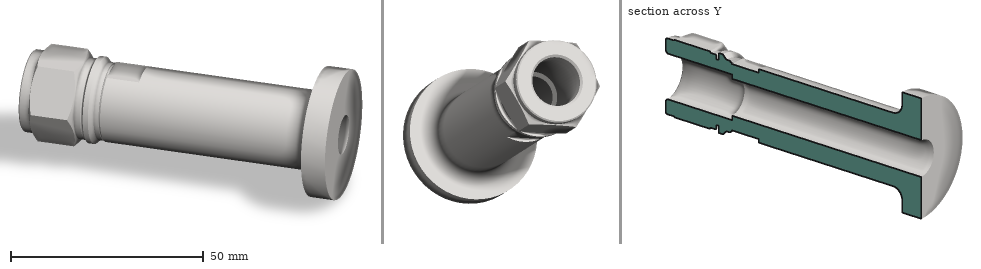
import cadquery as cq
import math

overall_length = 85.1
end_x = -overall_length / 2
flange_face_x = overall_length / 2

collar_diameter = 21.8
collar_length = 2.85
collar_chamfer = 0.35
hex_across_flats = 22.225
hex_length = 12.15
hex_front_chamfer_diameter = 21.9
hex_chamfer_angle = 30
nut_skirt_diameter = 21.5
nut_skirt_length = 2.0
nut_skirt_chamfer = 0.25

neck_diameter = 18.9
neck_length = 0.65
ring_diameter = 23.0
ring_length = 1.4
ring_cone_length = 1.2
shoulder_diameter = 20.6
shoulder_length = 1.35
relief_diameter = 19.95
relief_length = 0.5

pipe_diameter = 21.1
wrench_flat_spacing = 19.05
wrench_flat_length = 8.8
flange_diameter = 34.5
flange_thickness = 6.5
flange_fillet = 3.0

through_bore_diameter = 10.41
socket_diameter = 12.9
socket_chamfer = 0.6

hex_start_x = end_x + collar_length
hex_end_x = hex_start_x + hex_length
nut_end_x = hex_end_x + nut_skirt_length
ring_start_x = nut_end_x + neck_length
ring_cone_start_x = ring_start_x + ring_length
shoulder_start_x = ring_cone_start_x + ring_cone_length
shoulder_end_x = shoulder_start_x + shoulder_length
pipe_start_x = shoulder_end_x + relief_length
flange_back_x = flange_face_x - flange_thickness
socket_depth = pipe_start_x - end_x


def cylinder(start_x, length, diameter):
    """Solid cylinder along X, starting at start_x."""
    return cq.Workplane("YZ", origin=(start_x, 0, 0)).circle(diameter / 2).extrude(length)


def revolve_outline(outline):
    """Turn a closed XY outline into a solid of revolution about X."""
    return outline.close().revolve(360, (0, 0, 0), (1, 0, 0))


def make_hexagon():
    """Hexagon with flats facing +Z and -Z and conical chamfers; the back cone runs into the skirt."""
    across_corners = hex_across_flats / math.cos(math.radians(30))
    hexagon = (
        cq.Workplane("YZ", origin=(hex_start_x, 0, 0))
        .polygon(6, across_corners)
        .extrude(hex_length)
    )
    corner_radius = across_corners / 2
    front_radius = hex_front_chamfer_diameter / 2
    back_radius = nut_skirt_diameter / 2
    chamfer_slope = math.tan(math.radians(hex_chamfer_angle))
    front_chamfer_length = (corner_radius - front_radius) * chamfer_slope
    back_chamfer_length = (corner_radius - back_radius) * chamfer_slope
    envelope = revolve_outline(
        cq.Workplane("XY")
        .moveTo(hex_start_x, 0)
        .lineTo(hex_start_x, front_radius)
        .lineTo(hex_start_x + front_chamfer_length, corner_radius)
        .lineTo(hex_end_x - back_chamfer_length, corner_radius)
        .lineTo(hex_end_x, back_radius)
        .lineTo(hex_end_x, 0)
    )
    return hexagon.intersect(envelope)


def make_nut():
    """Collar, hexagon and skirt of the compression nut."""
    collar = cylinder(end_x, collar_length, collar_diameter).faces("<X").chamfer(collar_chamfer)
    skirt = cylinder(hex_end_x, nut_skirt_length, nut_skirt_diameter)
    skirt = skirt.faces(">X").chamfer(nut_skirt_chamfer)
    return collar.union(make_hexagon()).union(skirt)


def make_body():
    """Neck, ring, shoulder, pipe and flange as one turned piece."""
    pipe_radius = pipe_diameter / 2
    fillet_start_x = flange_back_x - flange_fillet
    fillet_outer_radius = pipe_radius + flange_fillet
    arc_offset = flange_fillet * math.sin(math.radians(45))
    fillet_middle = (fillet_start_x + arc_offset, fillet_outer_radius - arc_offset)
    return revolve_outline(
        cq.Workplane("XY")
        .moveTo(nut_end_x, 0)
        .lineTo(nut_end_x, neck_diameter / 2)
        .lineTo(ring_start_x, neck_diameter / 2)
        .lineTo(ring_start_x, ring_diameter / 2)
        .lineTo(ring_cone_start_x, ring_diameter / 2)
        .lineTo(shoulder_start_x, shoulder_diameter / 2)
        .lineTo(shoulder_end_x, shoulder_diameter / 2)
        .lineTo(shoulder_end_x, relief_diameter / 2)
        .lineTo(pipe_start_x, relief_diameter / 2)
        .lineTo(pipe_start_x, pipe_radius)
        .lineTo(fillet_start_x, pipe_radius)
        .threePointArc(fillet_middle, (flange_back_x, fillet_outer_radius))
        .lineTo(flange_back_x, flange_diameter / 2)
        .lineTo(flange_face_x, flange_diameter / 2)
        .lineTo(flange_face_x, 0)
    )


def cut_wrench_flats(part):
    """Cut two parallel flats, facing +Z and -Z, at the start of the pipe."""
    flat_depth = (pipe_diameter - wrench_flat_spacing) / 2
    flat_middle_x = pipe_start_x + wrench_flat_length / 2
    for side in (1, -1):
        flat_middle_z = side * (wrench_flat_spacing + flat_depth) / 2
        cutter = cq.Workplane("XY").box(wrench_flat_length, pipe_diameter, flat_depth)
        part = part.cut(cutter.translate((flat_middle_x, 0, flat_middle_z)))
    return part


def make_bore():
    """Through bore with a wider, chamfered tube socket at the nut end."""
    through_bore = cylinder(end_x, overall_length, through_bore_diameter)
    socket_radius = socket_diameter / 2
    socket = revolve_outline(
        cq.Workplane("XY")
        .moveTo(end_x, 0)
        .lineTo(end_x, socket_radius + socket_chamfer)
        .lineTo(end_x + socket_chamfer, socket_radius)
        .lineTo(end_x + socket_depth, socket_radius)
        .lineTo(end_x + socket_depth, 0)
    )
    return through_bore.union(socket)


result = cut_wrench_flats(make_nut().union(make_body())).cut(make_bore())